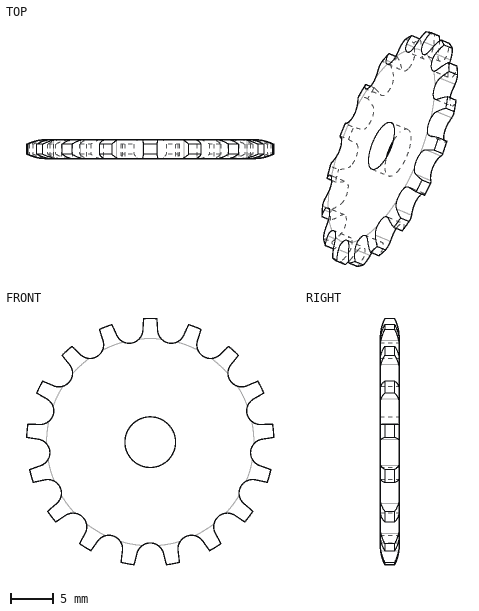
import cadquery as cq
import math

tooth_count = 17
overall_width = 29.38
thickness = 2.3
tip_thickness = 1.18
bore_diameter = 6.0
face_radius = 12.3
seat_radius = 1.62
root_radius = 12.0
seat_half_angle = 77.0
tip_half_angle = 3.1

tooth_pitch = 360.0 / tooth_count
half_pitch = tooth_pitch / 2
seat_center_radius = root_radius + seat_radius

corner_angle = tooth_pitch / 4 - tip_half_angle
tip_radius = overall_width / 2 / math.cos(math.radians(corner_angle))


def polar(radius, angle):
    """Point at a radius and at an angle in degrees clockwise from straight up."""
    radians = math.radians(angle)
    return (radius * math.sin(radians), radius * math.cos(radians))


def seat_end(gap_angle, side):
    """End of the seat arc in the gap at gap_angle; side is +1 clockwise, -1 counterclockwise."""
    center_x, center_z = polar(seat_center_radius, gap_angle)
    offset_x, offset_z = polar(seat_radius, gap_angle + 180 - side * seat_half_angle)
    return (center_x + offset_x, center_z + offset_z)


def flank_direction(gap_angle, side):
    """Outward direction of the seat arc where it runs into the tooth flank."""
    return polar(1.0, gap_angle + side * (90 - seat_half_angle))


def flank_middle(start, direction, end):
    """Middle point of the arc that leaves start along direction and reaches end."""
    chord_x = end[0] - start[0]
    chord_z = end[1] - start[1]
    cross = direction[0] * chord_z - direction[1] * chord_x
    dot = direction[0] * chord_x + direction[1] * chord_z
    bulge = math.tan(math.atan2(cross, dot) / 2) / 2
    middle_x = (start[0] + end[0]) / 2 + bulge * chord_z
    middle_z = (start[1] + end[1]) / 2 - bulge * chord_x
    return (middle_x, middle_z)


def back_plane():
    """Work plane on the +Y face of the wheel; extrusions from it run towards -Y."""
    return cq.Workplane("XZ", origin=(0, thickness / 2, 0))


def make_toothed_plate():
    """Full-thickness plate with the tooth outline, centred on the XZ plane."""
    outline = back_plane().moveTo(*polar(root_radius, -half_pitch))
    for index in range(tooth_count):
        tooth_angle = index * tooth_pitch
        gap_before = tooth_angle - half_pitch
        gap_after = tooth_angle + half_pitch
        rise_start = seat_end(gap_before, 1)
        fall_end = seat_end(gap_after, -1)
        tip_start = polar(tip_radius, tooth_angle - tip_half_angle)
        tip_end = polar(tip_radius, tooth_angle + tip_half_angle)
        rise_middle = flank_middle(rise_start, flank_direction(gap_before, 1), tip_start)
        fall_middle = flank_middle(fall_end, flank_direction(gap_after, -1), tip_end)
        outline = (
            outline.radiusArc(rise_start, -seat_radius)
            .threePointArc(rise_middle, tip_start)
            .threePointArc(polar(tip_radius, tooth_angle), tip_end)
            .threePointArc(fall_middle, fall_end)
            .radiusArc(polar(root_radius, gap_after), -seat_radius)
        )
    return outline.close().extrude(thickness)


def make_thinned_disc():
    """Disc whose rim curves in on both sides, starting tangent to the flat faces."""
    half_thickness = thickness / 2
    half_tip = tip_thickness / 2
    rim_depth = tip_radius - face_radius
    rim_drop = half_thickness - half_tip
    rim_curve_radius = (rim_depth**2 + rim_drop**2) / (2 * rim_drop)
    profile = (
        cq.Workplane("YZ")
        .moveTo(-half_thickness, 0)
        .lineTo(-half_thickness, face_radius)
        .radiusArc((-half_tip, tip_radius), rim_curve_radius)
        .lineTo(half_tip, tip_radius)
        .radiusArc((half_thickness, face_radius), rim_curve_radius)
        .lineTo(half_thickness, 0)
        .close()
    )
    return profile.revolve(360, (0, 0), (1, 0))


bore = back_plane().circle(bore_diameter / 2).extrude(thickness)
result = make_toothed_plate().intersect(make_thinned_disc()).cut(bore)